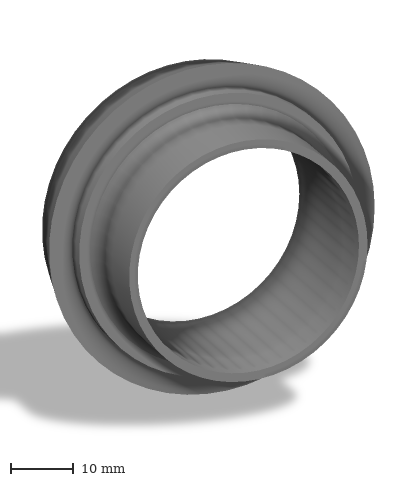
import cadquery as cq
import math

bore_diameter = 38.0
face_diameter = 38.9
tube_diameter = 41.0
shoulder_diameter = 48.0
collar_diameter = 56.0

face_cone_depth = 0.55
collar_end = 10.1
shoulder_end = 13.1
fillet_end = 15.45
total_length = 26.0

collar_taper_degrees = 15.0
neck_fillet_radius = 2.5

bore_radius = bore_diameter / 2
face_radius = face_diameter / 2
tube_radius = tube_diameter / 2
shoulder_radius = shoulder_diameter / 2
collar_radius = collar_diameter / 2

collar_length = collar_end - face_cone_depth
collar_front_radius = collar_radius - collar_length * math.tan(math.radians(collar_taper_degrees))

fillet_center_radius = tube_radius + neck_fillet_radius
fillet_sweep = math.asin((fillet_end - shoulder_end) / neck_fillet_radius)


def fillet_point(angle):
    """Point on the neck fillet, with the angle measured from its tangency with the tube."""
    axial = fillet_end - neck_fillet_radius * math.sin(angle)
    radial = fillet_center_radius - neck_fillet_radius * math.cos(angle)
    return (axial, radial)


half_section = (
    cq.Workplane("XY")
    .moveTo(0, bore_radius)
    .lineTo(0, face_radius)
    .lineTo(face_cone_depth, collar_front_radius)
    .lineTo(collar_end, collar_radius)
    .lineTo(collar_end, shoulder_radius)
    .lineTo(shoulder_end, shoulder_radius)
    .lineTo(*fillet_point(fillet_sweep))
    .threePointArc(fillet_point(fillet_sweep / 2), fillet_point(0))
    .lineTo(total_length, tube_radius)
    .lineTo(total_length, bore_radius)
    .close()
)

result = half_section.revolve(360, (0, 0, 0), (1, 0, 0))